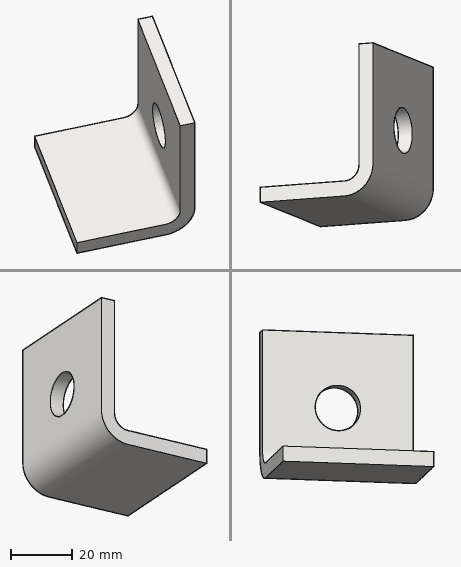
import cadquery as cq

width = 50.0
height = 50.0
depth = 40.0
thickness = 5.0
inner_bend_radius = 5.0
hole_diameter = 15.0
hole_height = height / 2

outer_bend_radius = inner_bend_radius + thickness


def bent_plate():
    """L-shaped plate: wall at the back (+Y), foot reaching forward to Y = 0."""
    profile = (
        cq.Workplane("YZ")
        .moveTo(0, 0)
        .lineTo(depth - outer_bend_radius, 0)
        .radiusArc((depth, outer_bend_radius), -outer_bend_radius)
        .lineTo(depth, height)
        .lineTo(depth - thickness, height)
        .lineTo(depth - thickness, outer_bend_radius)
        .radiusArc((depth - outer_bend_radius, thickness), inner_bend_radius)
        .lineTo(0, thickness)
        .close()
    )
    return profile.extrude(width)


def wall_hole():
    """Cylinder along Y that pierces the wall, centred across its width."""
    return (
        cq.Workplane("XZ")
        .center(width / 2, hole_height)
        .circle(hole_diameter / 2)
        .extrude(-depth)
    )


result = bent_plate().cut(wall_hole())